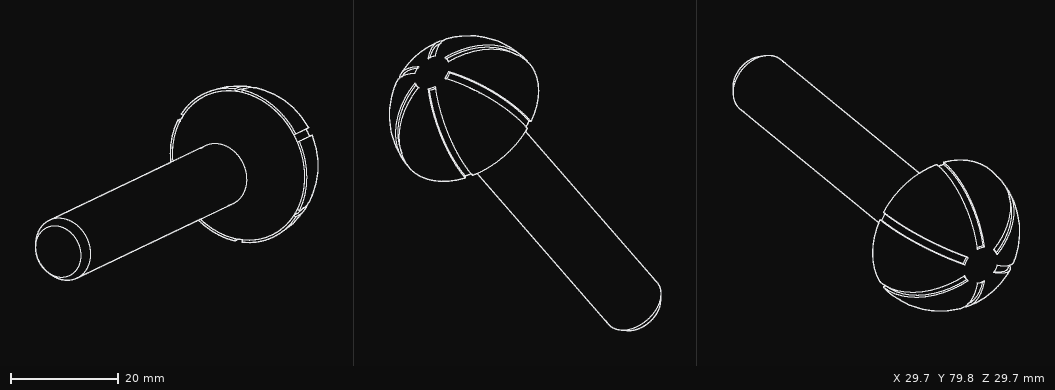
import cadquery as cq

length = 79.85
dome_radius = 14.85
shell_thickness = 0.5
core_radius = dome_radius - shell_thickness
rim_y = length - dome_radius

neck_length = 6.95
neck_end_y = rim_y - neck_length

shank_radius = 6.0
tip_chamfer_length = 1.75
tip_chamfer_inset = 1.0

groove_count = 6
groove_width = 1.5
crown_radius = 3.75


def revolve_about_y(outline):
    """Turn a closed outline, drawn in the YZ plane as (y, z), once about the Y axis."""
    return outline.revolve(360, (0, 0), (1, 0))


def quarter_arc_middle(radius):
    """Halfway point of the dome arc from the rim to the top, as (y, z)."""
    offset = radius * 0.5 ** 0.5
    return (rim_y + offset, offset)


def make_shank():
    """Straight round shank with a chamfered tip, ending flat against the neck."""
    outline = (
        cq.Workplane("YZ")
        .lineTo(0, shank_radius - tip_chamfer_inset)
        .lineTo(tip_chamfer_length, shank_radius)
        .lineTo(neck_end_y, shank_radius)
        .lineTo(neck_end_y, 0)
        .close()
    )
    return revolve_about_y(outline)


def make_core():
    """Conical neck carrying the half ball that fills the shell."""
    outline = (
        cq.Workplane("YZ")
        .moveTo(neck_end_y, 0)
        .lineTo(neck_end_y, shank_radius)
        .lineTo(rim_y, core_radius)
        .threePointArc(quarter_arc_middle(core_radius), (rim_y + core_radius, 0))
        .close()
    )
    return revolve_about_y(outline)


def make_plain_shell():
    """Half-ball shell of even thickness, without grooves."""
    outline = (
        cq.Workplane("YZ")
        .moveTo(rim_y, core_radius)
        .lineTo(rim_y, dome_radius)
        .threePointArc(quarter_arc_middle(dome_radius), (length, 0))
        .lineTo(rim_y + core_radius, 0)
        .threePointArc(quarter_arc_middle(core_radius), (rim_y, core_radius))
        .close()
    )
    return revolve_about_y(outline)


def make_groove_cutter(angle):
    """Slab along one meridian, reaching from the axis out past the shell."""
    return (
        cq.Workplane("XY")
        .box(groove_width, dome_radius, dome_radius, centered=(True, False, False))
        .translate((0, rim_y, 0))
        .rotate((0, 0, 0), (0, 1, 0), angle)
    )


def make_shell():
    """Thin dome shell split by meridian grooves that leave its round crown whole."""
    crown = (
        cq.Workplane("XZ", origin=(0, length, 0))
        .circle(crown_radius)
        .extrude(dome_radius)
    )
    shell = make_plain_shell()
    for index in range(groove_count):
        cutter = make_groove_cutter(index * 360 / groove_count)
        shell = shell.cut(cutter.cut(crown))
    return shell


shank = make_shank()
core = make_core()
shell = make_shell()

result = cq.Compound.makeCompound([shank.val(), core.val(), *shell.vals()])